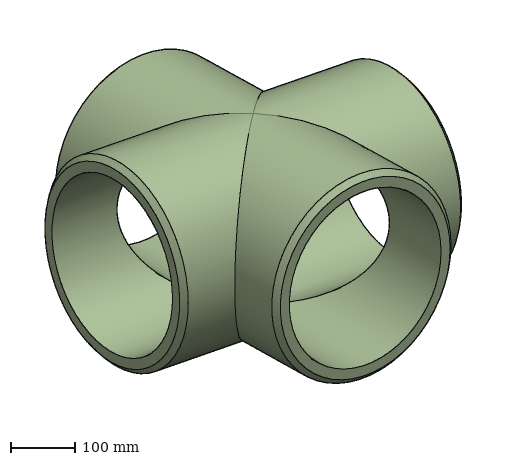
import cadquery as cq

cross_length = 559.0
outer_diameter = 355.5
bore_diameter = 300.5
chamfer_size = 9.5


def centred_cylinder(plane_name, diameter):
    """Cylinder spanning the whole cross, along the normal of the given plane."""
    return cq.Workplane(plane_name).circle(diameter / 2).extrude(cross_length / 2, both=True)


def chamfered_pipe_body(plane_name, axis_name):
    """Solid pipe body with both outer end rims chamfered."""
    body = centred_cylinder(plane_name, outer_diameter)
    return body.faces(f"|{axis_name}").edges().chamfer(chamfer_size)


cross_body = chamfered_pipe_body("YZ", "X").union(chamfered_pipe_body("XZ", "Y"))

bores = centred_cylinder("YZ", bore_diameter).union(centred_cylinder("XZ", bore_diameter))

result = cross_body.cut(bores)